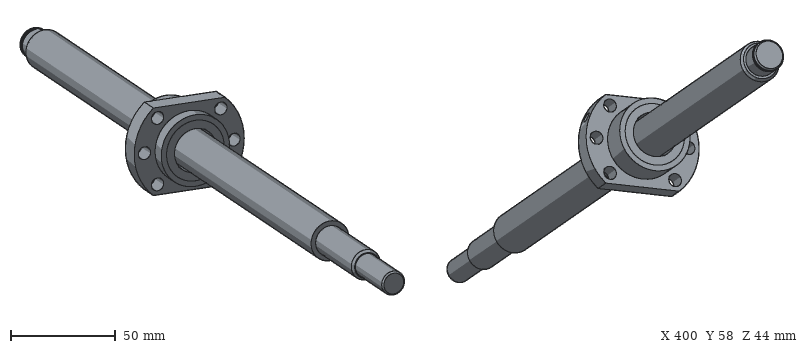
import cadquery as cq
import math

total_length = 400.0
thread_start = 11.0
thread_end = 329.0
tail_length = 30.0
tail_start = total_length - tail_length

thread_diameter = 20.0
journal_diameter = 15.0
tail_diameter = 12.0
shoulder_chamfer = 1.0
end_chamfer = 1.0

groove_start = 1.5
groove_width = 1.0
groove_diameter = 14.5

nut_start = 147.0
nut_length = 32.5
nut_diameter = 36.0
flange_offset = 15.5
flange_thickness = 10.0
flange_diameter = 58.0
flange_height = 44.0
flange_center_x = nut_start + flange_offset + flange_thickness / 2

bolt_circle_diameter = 47.0
bolt_hole_diameter = 6.5
bolt_spacing_angle = 45.0
bolt_angles = [side + step * bolt_spacing_angle for side in (0, 180) for step in (-1, 0, 1)]

oil_hole_diameter = 5.0
oil_hole_angle = bolt_spacing_angle / 2

sleeve_diameter = 30.5
sleeve_bore = 22.0


def cylinder(start, length, diameter):
    """Cylinder on the X axis, beginning at the given station."""
    return cq.Workplane("YZ", origin=(start, 0, 0)).circle(diameter / 2).extrude(length)


def make_shaft():
    """Stepped screw shaft with chamfered ends and a ring groove."""
    stub = cylinder(0, thread_start, journal_diameter).faces("<X").chamfer(end_chamfer)
    thread = cylinder(thread_start, thread_end - thread_start, thread_diameter)
    thread = thread.faces("<X").chamfer(shoulder_chamfer)
    journal = cylinder(thread_end, tail_start - thread_end, journal_diameter)
    journal = journal.faces(">X").chamfer(shoulder_chamfer)
    tail = cylinder(tail_start, tail_length, tail_diameter).faces(">X").chamfer(end_chamfer)

    shaft = stub
    for section in (thread, journal, tail):
        shaft = shaft.union(section)

    groove = cylinder(groove_start, groove_width, journal_diameter)
    groove = groove.cut(cylinder(groove_start, groove_width, groove_diameter))
    return shaft.cut(groove)


def make_flange():
    """Round flange with two flats and six mounting holes."""
    flange_start = nut_start + flange_offset
    flats = cq.Workplane("XY").box(flange_thickness, flange_diameter, flange_height)
    flats = flats.translate((flange_center_x, 0, 0))
    flange = cylinder(flange_start, flange_thickness, flange_diameter).intersect(flats)
    hole = cylinder(flange_start, flange_thickness, bolt_hole_diameter)
    hole = hole.translate((0, bolt_circle_diameter / 2, 0))
    for angle in bolt_angles:
        flange = flange.cut(hole.rotate((0, 0, 0), (1, 0, 0), angle))
    return flange


def make_oil_hole():
    """Radial drilling from the flange rim inward to the sleeve seat."""
    angle = math.radians(oil_hole_angle)
    direction = cq.Vector(0, math.cos(angle), math.sin(angle))
    center = cq.Vector(flange_center_x, 0, 0)
    return cq.Solid.makeCylinder(oil_hole_diameter / 2, flange_diameter / 2, center, direction)


def make_nut():
    """Flanged nut body, bored through for the sleeve."""
    body = cylinder(nut_start, nut_length, nut_diameter)
    nut = body.union(make_flange())
    nut = nut.cut(cylinder(nut_start, nut_length, sleeve_diameter))
    return nut.cut(cq.Workplane(make_oil_hole()))


def make_sleeve():
    """Plain sleeve filling the nut bore, flush with both nut faces."""
    sleeve = cylinder(nut_start, nut_length, sleeve_diameter)
    return sleeve.cut(cylinder(nut_start, nut_length, sleeve_bore))


shaft = make_shaft()
nut = make_nut()
sleeve = make_sleeve()

result = cq.Compound.makeCompound([shaft.val(), nut.val(), sleeve.val()])